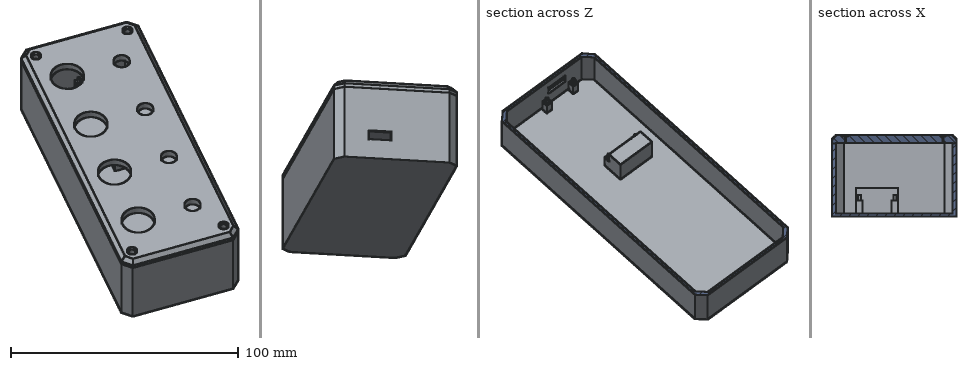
import cadquery as cq
length = 135.0
width = 55.0
height = 36.0
corner_cut = 3.9

lid_thickness = 3.6
lid_bevel = 2.0
split_height = height - lid_thickness

hole_pitch = 30.0
hole_count = 4
button_hole_diameter = 14.7
button_row_y = -12.7
lamp_hole_diameter = 7.2
lamp_row_y = 12.8

screw_x = 61.0
screw_y = 21.5
screw_hole_diameter = 3.0
screw_head_diameter = 4.5
screw_head_angle = 90

wall = 1.5
floor = 1.5

slot_width = 10.0
slot_height = 4.0
slot_y = 7.5
slot_bottom = 8.8

mount_width = 18.6
post_side = 3.0
post_top = 7.2
post_pitch_x = 40.9
pin_diameter = 1.3
pin_height = 2.4
stop_near_x = -21.6
stop_far_x = -14.0
stop_top = 12.5


def octagonal_block(size_x, size_y, size_z, cut):
    """Box standing on Z = 0 with its four upright corners cut off."""
    block = cq.Workplane("XY").box(size_x, size_y, size_z, centered=(True, True, False))
    return block.edges("|Z").chamfer(cut)


def hole_row(row_y, diameter):
    """Cutter for one row of equally spaced round holes through the lid."""
    row = cq.Workplane("XY", origin=(0, row_y, split_height))
    return row.rarray(hole_pitch, 1.4, hole_count, 1).circle(diameter / 2).extrude(lid_thickness)


def make_lid():
    lid = octagonal_block(length, width, lid_thickness, corner_cut)
    lid = lid.faces(">Z").chamfer(lid_bevel).translate((0, 0, split_height))
    lid = lid.cut(hole_row(button_row_y, button_hole_diameter))
    lid = lid.cut(hole_row(lamp_row_y, lamp_hole_diameter))
    screws = lid.faces(">Z").workplane(origin=(0, 0, height)).rarray(2 * screw_x, 2 * screw_y, 2, 2)
    return screws.cskHole(screw_hole_diameter, screw_head_diameter, screw_head_angle)


def make_shell():
    """Open-topped box of constant wall thickness with the connector slot."""
    shell = octagonal_block(length, width, split_height, corner_cut)
    cavity = octagonal_block(length - 2 * wall, width - 2 * wall, split_height, corner_cut)
    shell = shell.cut(cavity.translate((0, 0, floor)))
    slot = cq.Workplane("XY").box(2 * wall, slot_width, slot_height, centered=(True, True, False))
    return shell.cut(slot.translate((-length / 2, slot_y, slot_bottom)))


def make_board_mount():
    """Posts, pins and end stop; the last two posts stand against the stop."""
    mid_x = stop_near_x - post_side / 2 - post_pitch_x / 2
    post_pitch_y = mount_width - post_side
    on_floor = cq.Workplane("XY", origin=(mid_x, slot_y, floor))
    on_posts = cq.Workplane("XY", origin=(mid_x, slot_y, post_top))
    posts = on_floor.rarray(post_pitch_x, post_pitch_y, 2, 2).rect(post_side, post_side)
    pins = on_posts.rarray(post_pitch_x, post_pitch_y, 2, 2).circle(pin_diameter / 2)
    stop_mid_x = (stop_near_x + stop_far_x) / 2
    stop = cq.Workplane("XY", origin=(stop_mid_x, slot_y, floor)).rect(stop_far_x - stop_near_x, mount_width)
    mount = stop.extrude(stop_top - floor).union(posts.extrude(post_top - floor))
    return mount.union(pins.extrude(pin_height))


base = make_shell().union(make_board_mount())
lid = make_lid()

result = cq.Compound.makeCompound([base.val(), lid.val()])